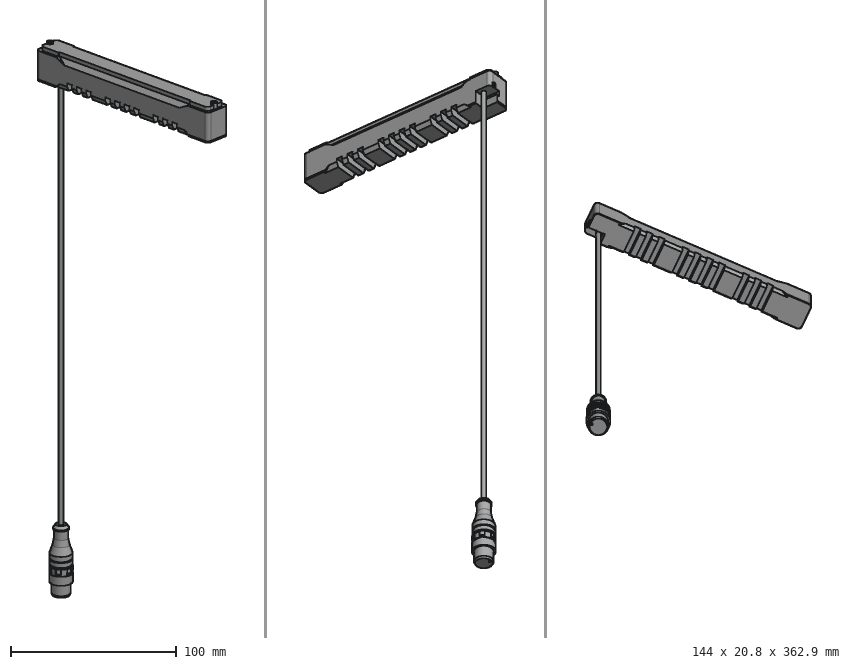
import cadquery as cq

housing_length = 144.0
housing_width = 17.5
housing_height = 19.8
corner_radius = 2.5
sole_thickness = 1.0
sole_inset = 0.15

cover_inset = 2.0
cover_width = 14.0
cover_thickness = 2.7
cover_waist_width = 12.2

top_bevel_height = 3.3
top_bevel_outer_end = 17.0
top_bevel_inner_end = 24.0
bottom_bevel_height = 3.2
bottom_bevel_depth = 1.5
bottom_bevel_outer_end = 16.0
bottom_bevel_inner_end = 20.0

slot_pitch = 8.0
slot_width = 4.0
slot_depth = 5.4
slot_steps = (0.5, 1.5, 3.5, 4.5, 5.5)

screw_inset = 3.3
screw_head_diameter = 4.0
screw_head_height = 1.1
screw_socket_diameter = 2.0
screw_socket_depth = 0.8

plug_diameter = 14.5
plug_overhang = 3.25
overall_height = 362.85
cable_diameter = 3.1
cable_inset = 8.0
cable_x = -housing_length / 2 + cable_inset
cable_y = housing_width / 2 + plug_overhang - plug_diameter / 2
plug_tip_z = housing_height + cover_thickness + screw_head_height - overall_height
outlet_length = 11.0
outlet_width = 7.0
outlet_height = 9.0
outlet_step_width = 2.0
outlet_step_height = 3.3
end_hole_diameter = 3.24
end_hole_depth = 1.0
end_hole_gap = 2.2
end_pin_diameter = 1.57

pin_diameter = 1.0
pin_offset = 4.4
pin_length = 0.9
thread_diameter = 12.0
thread_chamfer = 0.7
thread_top = 9.6
nut_top = 15.4
neck_top = 16.9
neck_diameter = 11.2
grip_top = 20.0
groove_heights = (20.8, 24.6)
groove_width = 0.5
groove_depth = 0.4
body_diameter = 14.2
shoulder_z = 28.4
sleeve_z = 33.9
sleeve_diameter = 10.4
boot_bottom = 38.3
boot_diameter = 8.8
collar_bottom = 44.0
collar_diameter = 9.8
collar_edge = 44.9
plug_top = 47.0
plug_top_diameter = 6.8
rib_count = 6
rib_width = 4.0
rib_diameter = 13.5

BEYOND = 1.0
half_length = housing_length / 2
half_width = housing_width / 2
cover_top = housing_height + cover_thickness


def rounded_bar(length, width, height, bottom, radius):
    bar = cq.Workplane("XY", origin=(0, 0, bottom)).rect(length, width).extrude(height)
    return bar.edges("|Z").fillet(radius)


def make_housing():
    sole = rounded_bar(
        housing_length - 2 * sole_inset,
        housing_width - 2 * sole_inset,
        sole_thickness,
        0,
        corner_radius - sole_inset,
    )
    shell_height = housing_height - sole_thickness
    shell = rounded_bar(housing_length, housing_width, shell_height, sole_thickness, corner_radius)
    cover_length = housing_length - 2 * cover_inset
    cover = rounded_bar(cover_length, cover_width, cover_thickness, housing_height, corner_radius)
    return sole.union(shell).union(cover)


def long_wedge(section, outline):
    """Wedge along X whose YZ section is `section`, kept within the XZ outline `outline`."""
    strip = cq.Workplane("YZ").polyline(section).close().extrude(half_length, both=True)
    window = cq.Workplane("XZ").polyline(outline).close().extrude(housing_width, both=True)
    return strip.intersect(window)


def make_top_bevel():
    waist_y = cover_waist_width / 2
    bevel_z = housing_height - top_bevel_height
    above = cover_top + BEYOND
    outer_x = half_length - top_bevel_outer_end
    inner_x = half_length - top_bevel_inner_end
    section = [
        (-half_width, bevel_z),
        (-waist_y, housing_height),
        (-waist_y, above),
        (-half_width - BEYOND, above),
        (-half_width - BEYOND, bevel_z),
    ]
    outline = [
        (-inner_x, bevel_z),
        (inner_x, bevel_z),
        (outer_x, housing_height),
        (outer_x, above),
        (-outer_x, above),
        (-outer_x, housing_height),
    ]
    return long_wedge(section, outline)


def make_bottom_bevel():
    outer_x = half_length - bottom_bevel_outer_end
    inner_x = half_length - bottom_bevel_inner_end
    section = [
        (-half_width, bottom_bevel_height),
        (-half_width + bottom_bevel_depth, 0),
        (-half_width - BEYOND, 0),
        (-half_width - BEYOND, bottom_bevel_height),
    ]
    outline = [
        (-outer_x, 0),
        (outer_x, 0),
        (inner_x, bottom_bevel_height),
        (-inner_x, bottom_bevel_height),
    ]
    return long_wedge(section, outline)


def cut_bevels(part):
    for bevel in (make_top_bevel(), make_bottom_bevel()):
        part = part.cut(bevel).cut(bevel.mirror("XZ"))
    return part


def cut_slots(part):
    for step in slot_steps:
        for side in (-1, 1):
            slot = cq.Workplane("XY", origin=(side * step * slot_pitch, 0, 0))
            slot = slot.rect(slot_width, housing_width + BEYOND).extrude(slot_depth)
            part = part.cut(slot)
    return part


def add_screws(part):
    for side in (-1, 1):
        seat = cq.Workplane("XY", origin=(side * (half_length - screw_inset), 0, housing_height))
        head = seat.circle(screw_head_diameter / 2).extrude(cover_thickness + screw_head_height)
        screw = head.faces(">Z").workplane().hole(screw_socket_diameter, screw_socket_depth)
        part = part.union(screw)
    return part


def corner_pocket(width, bottom, height):
    """Pocket open to the -X end and the +Y side."""
    corner = (-half_length - BEYOND, half_width - width, bottom)
    pocket = cq.Workplane("XY").box(outlet_length + BEYOND, width + BEYOND, height, centered=False)
    return pocket.translate(corner)


def cut_cable_outlet(part):
    """Stepped corner pocket around the cable, with a ring recess above it in the housing end."""
    step_bottom = outlet_height - outlet_step_height
    part = part.cut(corner_pocket(outlet_width, 0, outlet_height))
    part = part.cut(corner_pocket(outlet_width + outlet_step_width, step_bottom, outlet_step_height))
    hole_z = outlet_height + end_hole_gap
    ring = cq.Workplane("YZ", origin=(-half_length, cable_y, hole_z))
    ring = ring.circle(end_hole_diameter / 2).circle(end_pin_diameter / 2).extrude(end_hole_depth)
    return part.cut(ring)


def make_cable():
    start = plug_tip_z + collar_bottom
    cable = cq.Workplane("XY", origin=(cable_x, cable_y, start))
    return cable.circle(cable_diameter / 2).extrude(outlet_height + BEYOND - start)


def make_plug():
    profile = [
        (thread_diameter - 2 * thread_chamfer, pin_length),
        (thread_diameter, pin_length + 2 * thread_chamfer),
        (thread_diameter, thread_top),
        (plug_diameter, thread_top),
        (plug_diameter, nut_top),
        (neck_diameter, nut_top),
        (neck_diameter, neck_top),
        (plug_diameter, neck_top),
        (plug_diameter, grip_top),
        (body_diameter, grip_top),
        (body_diameter, shoulder_z),
        (sleeve_diameter, sleeve_z),
        (boot_diameter, boot_bottom),
        (boot_diameter, collar_bottom),
        (collar_diameter, collar_bottom),
        (collar_diameter, collar_edge),
        (plug_top_diameter, plug_top),
    ]
    outline = cq.Workplane("XZ").moveTo(0, pin_length)
    for diameter, height in profile:
        outline = outline.lineTo(diameter / 2, height)
    plug = outline.lineTo(0, plug_top).close().revolve(360, (0, 0, 0), (0, 1, 0))
    plug = cut_grip_notches(cut_plug_grooves(plug))
    pin = cq.Workplane("XY").center(-pin_offset, 0).circle(pin_diameter / 2).extrude(2 * pin_length)
    return plug.union(make_grip_ribs()).union(pin).translate((cable_x, cable_y, plug_tip_z))


def cut_plug_grooves(plug):
    for height in groove_heights:
        ring = cq.Workplane("XY", origin=(0, 0, height - groove_width / 2))
        ring = ring.circle(plug_diameter / 2).circle(body_diameter / 2 - groove_depth)
        plug = plug.cut(ring.extrude(groove_width))
    return plug


def grip_sectors(inner_diameter, outer_diameter, bottom, top):
    """Evenly spaced bars of rib width, trimmed to the space between two cylinders."""
    ring = cq.Workplane("XY", origin=(0, 0, bottom))
    ring = ring.circle(outer_diameter / 2).circle(inner_diameter / 2).extrude(top - bottom)
    bars = cq.Workplane("XY", origin=(0, 0, bottom))
    bars = bars.polarArray(outer_diameter / 2, 90, 360, rib_count)
    bars = bars.rect(outer_diameter, rib_width).extrude(top - bottom)
    return ring.intersect(bars)


def cut_grip_notches(plug):
    """Notches spaced around the lower rim of the grip ring."""
    return plug.cut(grip_sectors(rib_diameter, plug_diameter + BEYOND, neck_top, grip_top))


def make_grip_ribs():
    """Ribs in line with the notches, bridging the neck between the nut and the grip ring."""
    return grip_sectors(neck_diameter - BEYOND, rib_diameter, nut_top, neck_top)


housing = make_housing()
housing = cut_bevels(housing)
housing = cut_slots(housing)
housing = add_screws(housing)
housing = cut_cable_outlet(housing)
result = housing.union(make_cable()).union(make_plug())